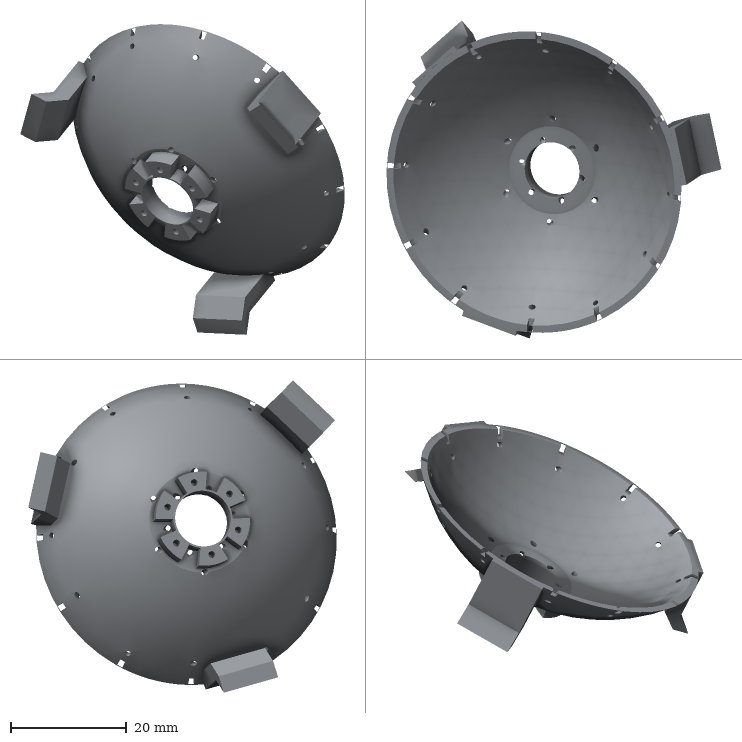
import cadquery as cq
import math

RIM_RADIUS = 26.5
DOME_DEPTH = 12.5
FLAT_RADIUS = 8.9
WALL = 1.0
FLAT_WALL = 0.75
CENTRE_Y = (RIM_RADIUS**2 - FLAT_RADIUS**2 - DOME_DEPTH**2) / (2 * DOME_DEPTH)
SPHERE_RADIUS = math.hypot(RIM_RADIUS, CENTRE_Y)

BORE_DIAMETER = 9.8
HUB_HEIGHT = 3.0
RING_RADIUS = 5.2
BLOCK_COUNT = 6
BLOCK_RADIUS = 8.3
BLOCK_HALF_ANGLE = 18.6
BLOCK_START = 43.8
BLOCK_HOLE_DIAMETER = 1.2
BLOCK_HOLE_RADIUS = 6.45

SMALL_HOLE_DIAMETER = 1.0
RING_HOLE_COUNT = 6
DRILL_LENGTH = 6 * WALL

FLAT_HOLE_RINGS = [
    (5.95, BLOCK_START - 180 / BLOCK_COUNT, 40, 197),
    (8.9, 36, 34, -73),
]

RIM_HOLE_RINGS = [
    (23.35, 31.2, 35),
    (24.3, 3.6, 0),
]

NOTCH_STARTS = [31.7, 3.5]
NOTCH_WIDTH = 1.0
NOTCH_DEPTH = 1.25
NOTCH_LENGTH = 2.55
RIM_LIP = 0.1

LEG_COUNT = 3
LEG_START = 47.6
LEG_WIDTH = 10.05
LEG_THICKNESS = 3.0
LEG_INNER_RADIUS = 23.9
LEG_FLARE = 2.9


def polar(radius, angle):
    """X and Z of a point at a radius and an angle (degrees) about the Y axis."""
    turn = math.radians(angle)
    return radius * math.cos(turn), radius * math.sin(turn)


def ring_angles(count, start):
    """Equally spaced angles around the Y axis."""
    return [start + 360.0 / count * i for i in range(count)]


def turned(shape, angle):
    """Turn a shape about the Y axis, from +X towards +Z."""
    return shape.rotate((0, 0, 0), (0, -1, 0), angle)


def disc(radius, start_depth, height):
    """Cylinder on the Y axis that grows towards -Y from a depth below the rim plane."""
    return cq.Workplane("XZ", origin=(0, -start_depth, 0)).circle(radius).extrude(height)


def cap(sphere_radius, depth):
    """Solid spherical cap between the rim plane and a flat at the given depth."""
    ball = cq.Workplane("XY").sphere(sphere_radius).translate((0, CENTRE_Y, 0))
    return ball.intersect(disc(SPHERE_RADIUS, 0, depth))


def drill(point, direction):
    """Small drill centred on a point, along a direction."""
    start = point - direction * (DRILL_LENGTH / 2)
    return cq.Workplane(cq.Solid.makeCylinder(SMALL_HOLE_DIAMETER / 2, DRILL_LENGTH, start, direction))


def flat_drill(radius, angle, slant, heading):
    """Slanted drill through the flat, kept clear of the hub that stands on it."""
    x, z = polar(radius, angle)
    dx, dz = polar(math.sin(math.radians(slant)), angle + heading)
    direction = cq.Vector(dx, math.cos(math.radians(slant)), dz)
    return drill(cq.Vector(x, -DOME_DEPTH, z), direction).intersect(disc(RIM_RADIUS, 0, DOME_DEPTH))


def rim_drill(radius, angle, lean):
    """Drill through the sphere, leaning sideways from the inward normal."""
    x, z = polar(radius, angle)
    rise = math.sqrt(SPHERE_RADIUS**2 - radius**2)
    normal = cq.Vector(-x, rise, -z).normalized()
    side_x, side_z = polar(1, angle + 90)
    sideways = cq.Vector(side_x, 0, side_z)
    direction = normal * math.cos(math.radians(lean)) + sideways * math.sin(math.radians(lean))
    return drill(cq.Vector(x, CENTRE_Y - rise, z), direction)


def notch(angle):
    """Box that cuts through the wall just inside the rim edge."""
    middle_radius = RIM_RADIUS - RIM_LIP - NOTCH_LENGTH / 2
    box = cq.Workplane("XZ").center(middle_radius, 0).rect(NOTCH_LENGTH, NOTCH_WIDTH).extrude(NOTCH_DEPTH)
    return turned(box, angle)


def hub_block(angle):
    """Sector block on the flat, rooted inside the hub ring."""
    first = angle - BLOCK_HALF_ANGLE
    last = angle + BLOCK_HALF_ANGLE
    root_radius = (BORE_DIAMETER / 2 + RING_RADIUS) / 2
    return (
        cq.Workplane("XZ", origin=(0, -DOME_DEPTH, 0))
        .moveTo(*polar(root_radius, first))
        .lineTo(*polar(BLOCK_RADIUS, first))
        .threePointArc(polar(BLOCK_RADIUS, angle), polar(BLOCK_RADIUS, last))
        .lineTo(*polar(root_radius, last))
        .threePointArc(polar(root_radius, angle), polar(root_radius, first))
        .close()
        .extrude(HUB_HEIGHT)
    )


def block_hole(angle):
    """Blind hole through the height of a block, down to the flat."""
    x, z = polar(BLOCK_HOLE_RADIUS, angle)
    return disc(BLOCK_HOLE_DIAMETER / 2, DOME_DEPTH, HUB_HEIGHT).translate((x, 0, z))


def make_dome():
    block_angles = ring_angles(BLOCK_COUNT, BLOCK_START)

    dome = cap(SPHERE_RADIUS, DOME_DEPTH).cut(cap(SPHERE_RADIUS - WALL, DOME_DEPTH - FLAT_WALL))
    dome = dome.union(disc(RING_RADIUS, DOME_DEPTH, HUB_HEIGHT))
    for angle in block_angles:
        dome = dome.union(hub_block(angle))
    dome = dome.cut(disc(BORE_DIAMETER / 2, 0, DOME_DEPTH + HUB_HEIGHT))
    for angle in block_angles:
        dome = dome.cut(block_hole(angle))

    for radius, start, slant, heading in FLAT_HOLE_RINGS:
        for angle in ring_angles(RING_HOLE_COUNT, start):
            dome = dome.cut(flat_drill(radius, angle, slant, heading))
    for radius, start, lean in RIM_HOLE_RINGS:
        for angle in ring_angles(RING_HOLE_COUNT, start):
            dome = dome.cut(rim_drill(radius, angle, lean))

    for start in NOTCH_STARTS:
        for angle in ring_angles(RING_HOLE_COUNT, start):
            dome = dome.cut(notch(angle))
    return dome


def make_leg(angle):
    """Bent bar whose inner side is cut to the outside of the dome."""
    inner = LEG_INNER_RADIUS
    outer = LEG_INNER_RADIUS + LEG_THICKNESS
    bend_y = LEG_FLARE - DOME_DEPTH
    profile = [
        (inner, 0),
        (outer, 0),
        (outer, bend_y),
        (outer + LEG_FLARE, -DOME_DEPTH),
        (inner + LEG_FLARE, -DOME_DEPTH),
        (inner, bend_y),
    ]
    bar = cq.Workplane("XY").polyline(profile).close().extrude(LEG_WIDTH / 2, both=True)
    return turned(bar.cut(cap(SPHERE_RADIUS, DOME_DEPTH)), angle)


dome = make_dome()
legs = [make_leg(angle).val() for angle in ring_angles(LEG_COUNT, LEG_START)]

result = cq.Compound.makeCompound([dome.val(), *legs])